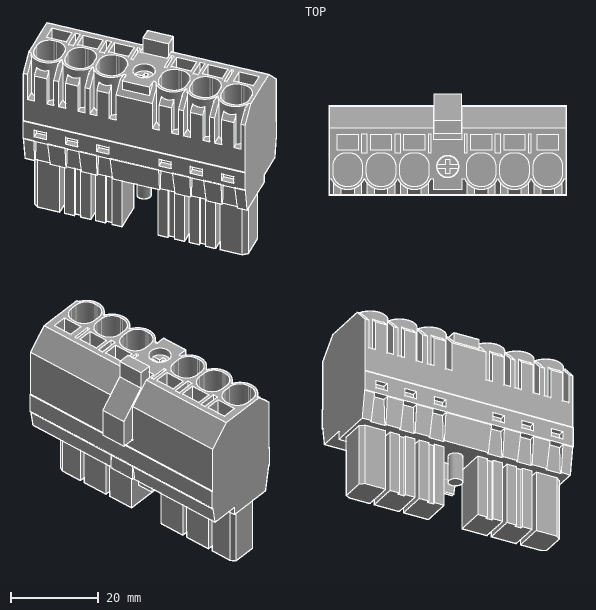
import cadquery as cq
LENGTH = 54.25
END_POLE_DISTANCE = 45.7
PITCH = END_POLE_DISTANCE / 6
POLES = [n * PITCH for n in (-3, -2, -1, 1, 2, 3)]
OUTER_POLES = (POLES[0], POLES[-1])

TOP_Z = 44.55
COLLAR_TOP_Z = 27.3
COLLAR_BOTTOM_Z = 22.2
REAR_BOTTOM_Z = 17.5
BODY_BOTTOM_Z = 15.4

BODY_HALF_DEPTH = 10.05
COLLAR_HALF_DEPTH = 10.25
TAPER_TOP_HALF_DEPTH = 10.0
TAPER_FRONT_RUN = 1.15
TAPER_SLOPE = TAPER_FRONT_RUN / (COLLAR_BOTTOM_Z - BODY_BOTTOM_Z)
REAR_NOTCH_Y = 2.3
REAR_CHAMFER = 4.85
FRONT_CHAMFER = 3.6

TUBE_RADIUS = 4.05
TUBE_Y = -4.85
BORE_WIDTH = 6.8
BORE_FRONT_Y = -8.2
BORE_BACK_Y = -0.5
BORE_CORNER_RADIUS = 3.1
BORE_DEPTH = 16.25

WALL_SLOT_INNER_X = 1.5
WALL_SLOT_OUTER_X = 3.2
WALL_SLOT_BOTTOM_Z = 33.7

BOSS_HALF_WIDTH = 3.3
BOSS_FRONT_Y = -8.9

TOP_WINDOW_WIDTH = 4.9
TOP_WINDOW_FRONT_Y = 0.1
TOP_WINDOW_BACK_Y = 3.7
TOP_WINDOW_DEPTH = 16.25
RELIEF_HALF_WIDTH = 0.6
RELIEF_FRONT_Y = -0.6
RELIEF_BACK_Y = 3.85
RELIEF_DEPTH = 5.4

FRONT_WINDOW_WIDTH = 3.0
FRONT_WINDOW_BOTTOM_Z = 23.5
FRONT_WINDOW_TOP_Z = 25.4
FRONT_WINDOW_DEPTH = 1.5

CHANNEL_TOP_HALF_WIDTH = 1.7
CHANNEL_BOTTOM_HALF_WIDTH = 1.9
CHANNEL_BACK_Y = -8.35

REAR_RIB_WIDTH = 6.5
REAR_RIB_BOTTOM_Z = 18.05

PLUG_WIDTH = 6.5
PLUG_FRONT_Y = -6.3
PLUG_BACK_Y = 1.25
PLUG_CHAMFER_X = 1.15
PLUG_FRONT_CHAMFER_Y = 0.9
PLUG_BACK_CHAMFER_Y = 0.65
PLUG_GROOVE_WIDTH = 1.5
PLUG_GROOVE_DEPTH = 0.65

GUARD_WIDTH = 4.05
GUARD_FRONT_Y = 0.0
GUARD_BACK_Y = 1.6
GUARD_BOTTOM_Z = 8.25
GUARD_SLOPE_TOP_Z = 11.1
GUARD_TIP_THICKNESS = 0.75

SCREW_Y = -3.65
HEAD_RADIUS = 2.45
HEAD_CLEARANCE = 0.1
HEAD_TOP_Z = TOP_Z - 1.95
HEAD_BOTTOM_Z = HEAD_TOP_Z - 2.15
SHANK_RADIUS = 1.7
SHANK_BOTTOM_Z = 8.6
CROSS_WIDTH = 0.9
CROSS_SHORT_LENGTH = 3.2
CROSS_DEPTH = 0.8

LATCH_WIDTH = 6.3
RECESS_HALF_WIDTH = 3.3
RECESS_FRONT_Y = 2.55
LATCH_BOTTOM_Z = 29.7
LATCH_TOP_Z = 47.7
LATCH_BACK_Y = 12.95
LATCH_SHOULDER_Z = 37.05
STEM_FRONT_Y = 3.9
STEM_BACK_Y = 6.9


def block(x0, x1, y0, y1, z0, z1):
    """Box between two opposite corners."""
    return cq.Workplane("XY").box(x1 - x0, y1 - y0, z1 - z0, centered=False).translate((x0, y0, z0))


def slab(profile, half_width):
    """Solid with a (Y, Z) outline, running from -half_width to +half_width in X."""
    return cq.Workplane("YZ").polyline(profile).close().extrude(half_width, both=True)


def cylinder(x, y, radius, z0, z1):
    """Upright cylinder."""
    return cq.Workplane("XY", origin=(x, y, z0)).circle(radius).extrude(z1 - z0)


def body_shell():
    """Housing block: chamfered top, slightly deeper collar, tapered and notched bottom."""
    rear_bottom_y = TAPER_TOP_HALF_DEPTH - TAPER_SLOPE * (COLLAR_BOTTOM_Z - REAR_BOTTOM_Z)
    profile = [
        (-BODY_HALF_DEPTH, TOP_Z),
        (BODY_HALF_DEPTH - REAR_CHAMFER, TOP_Z),
        (BODY_HALF_DEPTH, TOP_Z - REAR_CHAMFER),
        (BODY_HALF_DEPTH, COLLAR_TOP_Z),
        (COLLAR_HALF_DEPTH, COLLAR_TOP_Z),
        (COLLAR_HALF_DEPTH, COLLAR_BOTTOM_Z),
        (TAPER_TOP_HALF_DEPTH, COLLAR_BOTTOM_Z),
        (rear_bottom_y, REAR_BOTTOM_Z),
        (REAR_NOTCH_Y, REAR_BOTTOM_Z),
        (REAR_NOTCH_Y, BODY_BOTTOM_Z),
        (TAPER_FRONT_RUN - TAPER_TOP_HALF_DEPTH, BODY_BOTTOM_Z),
        (-TAPER_TOP_HALF_DEPTH, COLLAR_BOTTOM_Z),
        (-COLLAR_HALF_DEPTH, COLLAR_BOTTOM_Z),
        (-COLLAR_HALF_DEPTH, COLLAR_TOP_Z),
        (-BODY_HALF_DEPTH, COLLAR_TOP_Z),
    ]
    return slab(profile, LENGTH / 2)


def front_relief():
    """Material removed from the front: the top chamfer and the wall slots, leaving tubes and boss."""
    chamfer_profile = [
        (-BODY_HALF_DEPTH, TOP_Z),
        (FRONT_CHAMFER - BODY_HALF_DEPTH, TOP_Z),
        (-BODY_HALF_DEPTH, TOP_Z - FRONT_CHAMFER),
    ]
    relief = slab(chamfer_profile, LENGTH / 2)
    relief = relief.cut(
        block(-BOSS_HALF_WIDTH, BOSS_HALF_WIDTH, BOSS_FRONT_Y, 0, COLLAR_TOP_Z, TOP_Z)
    )
    for x in POLES:
        for x0, x1 in (
            (x - WALL_SLOT_OUTER_X, x - WALL_SLOT_INNER_X),
            (x + WALL_SLOT_INNER_X, x + WALL_SLOT_OUTER_X),
        ):
            relief = relief.union(block(x0, x1, -BODY_HALF_DEPTH, TUBE_Y, WALL_SLOT_BOTTOM_Z, TOP_Z))
    for x in POLES:
        relief = relief.cut(cylinder(x, TUBE_Y, TUBE_RADIUS, COLLAR_TOP_Z, TOP_Z))
    return relief


def wire_bore(x):
    """Wire entry of one pole: a rectangle with corners rounded to nearly half its width."""
    half = BORE_WIDTH / 2
    entry = block(x - half, x + half, BORE_FRONT_Y, BORE_BACK_Y, TOP_Z - BORE_DEPTH, TOP_Z)
    return entry.edges("|Z").fillet(BORE_CORNER_RADIUS)


def top_window(x):
    """Rectangular test opening behind one wire entry."""
    half = TOP_WINDOW_WIDTH / 2
    return block(x - half, x + half, TOP_WINDOW_FRONT_Y, TOP_WINDOW_BACK_Y, TOP_Z - TOP_WINDOW_DEPTH, TOP_Z)


def relief_slot(x0, x1):
    """Narrow slot in the top face at the border between two poles."""
    return block(x0, x1, RELIEF_FRONT_Y, RELIEF_BACK_Y, TOP_Z - RELIEF_DEPTH, TOP_Z)


def relief_slots():
    """Slots at the pole borders; those beside the screw and the last one on the right are half as wide."""
    inner, middle, outer = (PITCH * n for n in (0.5, 1.5, 2.5))
    spans = [
        (-outer - RELIEF_HALF_WIDTH, -outer + RELIEF_HALF_WIDTH),
        (-middle - RELIEF_HALF_WIDTH, -middle + RELIEF_HALF_WIDTH),
        (-inner - RELIEF_HALF_WIDTH, -inner),
        (inner, inner + RELIEF_HALF_WIDTH),
        (middle - RELIEF_HALF_WIDTH, middle + RELIEF_HALF_WIDTH),
        (outer - RELIEF_HALF_WIDTH, outer),
    ]
    return [relief_slot(x0, x1) for x0, x1 in spans]


def front_window(x):
    """Shallow pocket in the collar front below one pole."""
    half = FRONT_WINDOW_WIDTH / 2
    back_y = FRONT_WINDOW_DEPTH - COLLAR_HALF_DEPTH
    return block(x - half, x + half, -COLLAR_HALF_DEPTH, back_y, FRONT_WINDOW_BOTTOM_Z, FRONT_WINDOW_TOP_Z)


def taper_channel(x):
    """Upright channel in the front taper, flaring towards the bottom."""
    outline = [
        (x - CHANNEL_TOP_HALF_WIDTH, COLLAR_BOTTOM_Z),
        (x + CHANNEL_TOP_HALF_WIDTH, COLLAR_BOTTOM_Z),
        (x + CHANNEL_BOTTOM_HALF_WIDTH, BODY_BOTTOM_Z),
        (x - CHANNEL_BOTTOM_HALF_WIDTH, BODY_BOTTOM_Z),
    ]
    depth = COLLAR_HALF_DEPTH + CHANNEL_BACK_Y
    return cq.Workplane("XZ", origin=(0, CHANNEL_BACK_Y, 0)).polyline(outline).close().extrude(depth)


def plug(x):
    """Contact plug below one pole: chamfered outer corners at both ends, a grooved front elsewhere."""
    half = PLUG_WIDTH / 2
    if x not in OUTER_POLES:
        body = block(x - half, x + half, PLUG_FRONT_Y, PLUG_BACK_Y, 0, BODY_BOTTOM_Z)
        groove_half = PLUG_GROOVE_WIDTH / 2
        groove_back_y = PLUG_FRONT_Y + PLUG_GROOVE_DEPTH
        return body.cut(
            block(x - groove_half, x + groove_half, PLUG_FRONT_Y, groove_back_y, 0, BODY_BOTTOM_Z)
        )
    side = 1 if x > 0 else -1
    outer_x = x + side * half
    inner_x = x - side * half
    outline = [
        (inner_x, PLUG_FRONT_Y),
        (outer_x - side * PLUG_CHAMFER_X, PLUG_FRONT_Y),
        (outer_x, PLUG_FRONT_Y + PLUG_FRONT_CHAMFER_Y),
        (outer_x, PLUG_BACK_Y - PLUG_BACK_CHAMFER_Y),
        (outer_x - side * PLUG_CHAMFER_X, PLUG_BACK_Y),
        (inner_x, PLUG_BACK_Y),
    ]
    return cq.Workplane("XY").polyline(outline).close().extrude(BODY_BOTTOM_Z)


def guard_plate():
    """Plate hanging behind the screw shank, with its front sloped towards the tip."""
    profile = [
        (GUARD_FRONT_Y, BODY_BOTTOM_Z),
        (GUARD_FRONT_Y, GUARD_SLOPE_TOP_Z),
        (GUARD_BACK_Y - GUARD_TIP_THICKNESS, GUARD_BOTTOM_Z),
        (GUARD_BACK_Y, GUARD_BOTTOM_Z),
        (GUARD_BACK_Y, BODY_BOTTOM_Z),
    ]
    return slab(profile, GUARD_WIDTH / 2)


def rear_rib():
    """Upright rib standing out of the rear taper."""
    half = REAR_RIB_WIDTH / 2
    return block(-half, half, REAR_NOTCH_Y, TAPER_TOP_HALF_DEPTH, REAR_RIB_BOTTOM_Z, COLLAR_BOTTOM_Z)


def make_housing():
    """Housing with all its openings, plugs and guard plate."""
    housing = body_shell().cut(front_relief()).union(rear_rib())
    for x in POLES:
        for opening in (wire_bore(x), top_window(x), front_window(x), taper_channel(x)):
            housing = housing.cut(opening)
    for slot in relief_slots():
        housing = housing.cut(slot)
    for x in POLES:
        housing = housing.union(plug(x))
    housing = housing.union(guard_plate())
    latch_recess = block(
        -RECESS_HALF_WIDTH, RECESS_HALF_WIDTH, RECESS_FRONT_Y, BODY_HALF_DEPTH, LATCH_BOTTOM_Z, TOP_Z
    )
    head_bore = cylinder(0, SCREW_Y, HEAD_RADIUS + HEAD_CLEARANCE, HEAD_BOTTOM_Z, TOP_Z)
    shank_bore = cylinder(0, SCREW_Y, SHANK_RADIUS, BODY_BOTTOM_Z, HEAD_BOTTOM_Z)
    return housing.cut(latch_recess).cut(head_bore).cut(shank_bore)


def make_screw():
    """Screw with a full-width slot and a shorter cross slot in its head."""
    screw = cylinder(0, SCREW_Y, SHANK_RADIUS, SHANK_BOTTOM_Z, HEAD_BOTTOM_Z)
    screw = screw.union(cylinder(0, SCREW_Y, HEAD_RADIUS, HEAD_BOTTOM_Z, HEAD_TOP_Z))
    for length_x, length_y in ((2 * HEAD_RADIUS, CROSS_WIDTH), (CROSS_WIDTH, CROSS_SHORT_LENGTH)):
        slot = cq.Workplane("XY", origin=(0, SCREW_Y, HEAD_TOP_Z)).rect(length_x, length_y)
        screw = screw.cut(slot.extrude(-CROSS_DEPTH))
    return screw


def make_latch():
    """Release latch: upright stem with a 45 degree shoulder leading to the rear pad."""
    profile = [
        (STEM_FRONT_Y, LATCH_BOTTOM_Z),
        (LATCH_BACK_Y, LATCH_BOTTOM_Z),
        (LATCH_BACK_Y, LATCH_SHOULDER_Z),
        (STEM_BACK_Y, LATCH_SHOULDER_Z + LATCH_BACK_Y - STEM_BACK_Y),
        (STEM_BACK_Y, LATCH_TOP_Z),
        (STEM_FRONT_Y, LATCH_TOP_Z),
    ]
    return slab(profile, LATCH_WIDTH / 2)


housing = make_housing()
screw = make_screw()
latch = make_latch()
result = cq.Compound.makeCompound([housing.val(), screw.val(), latch.val()])